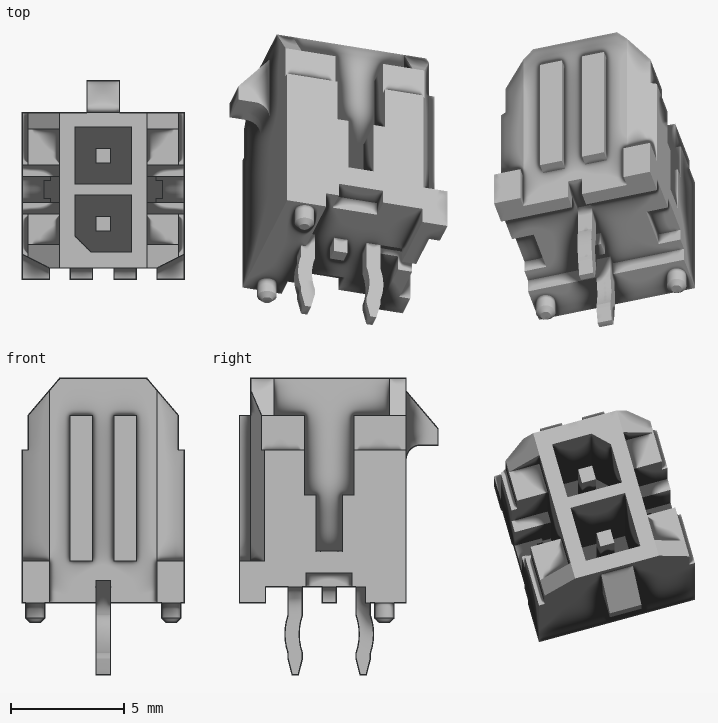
import cadquery as cq
import math


WIDTH = 7.15
HEIGHT = 9.91
FRONT_Y = -3.465
REAR_Y = 3.395
DEPTH = REAR_Y - FRONT_Y
HALF_WIDTH = WIDTH / 2
CORE_HALF_WIDTH = 1.92
SHOULDER_HALF_WIDTH = 3.315
STEP_Z = 6.75
SHOULDER_Z = 8.27

FRONT_STANDOFF = 0.5
FOOT_HEIGHT = 1.85
FOOT_INNER_X = 2.37
CORNER_CUT_DEPTH = 0.61
RIB_WIDTH = 1.0
RIB_X = 0.965

FRONT_SLOPE_THICKNESS = 1.03
REAR_SLOPE_THICKNESS = 0.735
SIDE_BAY_WIDTH = 2.18
SIDE_BAY_Z = 4.75
SIDE_SLOT_WIDTH = 1.15
SIDE_SLOT_Z = 2.28
FLOOR_POCKET_LENGTH = 0.41
FLOOR_POCKET_KEY_LENGTH = 0.70
FLOOR_POCKET_KEY_WIDTH = 0.785
FLOOR_POCKET_DEPTH = 0.5

STANDOFF_HEIGHT = 0.70
UNDERCUT_FRONT_Y = -2.81
UNDERCUT_REAR_Y = 1.60
SIDE_NOTCH_WIDTH = 2.03
SIDE_NOTCH_TOP_Z = 1.32
SIDE_NOTCH_DEPTH = 1.0
CONTACT_GROOVE_TOP_Z = 0.99
CENTRE_POST_SIZE = 0.63

PITCH = 3.0
CAVITY_SIZE = 2.5
CAVITY_FLOOR_Z = 2.0
KEY_CHAMFER = 0.70

CONTACT_SIZE = 0.64
CONTACT_TOP_Z = 7.9
BOTTOM_Z = -3.18
BOW_TOP_Z = -0.55
BOW_BOTTOM_Z = -2.22
BOW_OFFSET = 0.14
TIP_START_Z = -2.46
TIP_WIDTH = 0.28

PEG_DIAMETER = 0.86
PEG_LENGTH = 0.87
PEG_CHAMFER = 0.20
PEG_X = 3.0
PEG_FROM_REAR = 0.96

LATCH_WIDTH = 1.45
LATCH_REACH = 1.41
LATCH_TOP_Z = 9.34
LATCH_NOSE_TOP_Z = 7.68
LATCH_NOSE_BOTTOM_Z = 6.95
LATCH_FILLET = 0.63


def box(x_range, y_range, z_range):
    """Axis-aligned box between the given limits."""
    return (
        cq.Workplane("XY")
        .box(
            x_range[1] - x_range[0],
            y_range[1] - y_range[0],
            z_range[1] - z_range[0],
            centered=False,
        )
        .translate((x_range[0], y_range[0], z_range[0]))
    )


def centred(size):
    """Limits of a span of the given size about zero."""
    return (-size / 2, size / 2)


def both_sides(shape):
    """The shape together with its mirror image across the YZ plane."""
    return shape.union(shape.mirror("YZ"))


def housing_block():
    """Full housing outline in XZ, extruded from the front face to the rear face."""
    return (
        cq.Workplane("XZ", origin=(0, REAR_Y, 0))
        .polyline([
            (-HALF_WIDTH, 0),
            (HALF_WIDTH, 0),
            (HALF_WIDTH, STEP_Z),
            (SHOULDER_HALF_WIDTH, STEP_Z),
            (SHOULDER_HALF_WIDTH, SHOULDER_Z),
            (CORE_HALF_WIDTH, HEIGHT),
            (-CORE_HALF_WIDTH, HEIGHT),
            (-SHOULDER_HALF_WIDTH, SHOULDER_Z),
            (-SHOULDER_HALF_WIDTH, STEP_Z),
            (-HALF_WIDTH, STEP_Z),
        ])
        .close()
        .extrude(DEPTH)
    )


def corner_cuts():
    """Vertical bevels on the front corners, above the feet."""
    cut = (
        cq.Workplane("XY", origin=(0, 0, FOOT_HEIGHT))
        .polyline([
            (FOOT_INNER_X, FRONT_Y),
            (HALF_WIDTH, FRONT_Y),
            (HALF_WIDTH, FRONT_Y + CORNER_CUT_DEPTH),
        ])
        .close()
        .extrude(HEIGHT - FOOT_HEIGHT)
    )
    return both_sides(cut)


def side_openings():
    """Bays between the side posts, narrowing in steps towards a keyed floor pocket."""
    side_x = (CORE_HALF_WIDTH, HALF_WIDTH)
    top_y = (FRONT_Y + FRONT_SLOPE_THICKNESS, REAR_Y - REAR_SLOPE_THICKNESS)
    pocket_x = (CORE_HALF_WIDTH, CORE_HALF_WIDTH + FLOOR_POCKET_LENGTH)
    key_x = (CORE_HALF_WIDTH, CORE_HALF_WIDTH + FLOOR_POCKET_KEY_LENGTH)
    pocket_z = (SIDE_SLOT_Z - FLOOR_POCKET_DEPTH, SIDE_SLOT_Z)
    opening = (
        box(side_x, top_y, (SHOULDER_Z, HEIGHT))
        .union(box(side_x, centred(SIDE_BAY_WIDTH), (SIDE_BAY_Z, HEIGHT)))
        .union(box(side_x, centred(SIDE_SLOT_WIDTH), (SIDE_SLOT_Z, HEIGHT)))
        .union(box(pocket_x, centred(SIDE_SLOT_WIDTH), pocket_z))
        .union(box(key_x, centred(FLOOR_POCKET_KEY_WIDTH), pocket_z))
    )
    return both_sides(opening)


def underside_cuts():
    """Cross channel, side notches and the groove from the front face to the front contact."""
    channel = box(
        centred(WIDTH),
        (UNDERCUT_FRONT_Y, UNDERCUT_REAR_Y),
        (0, STANDOFF_HEIGHT),
    )
    notch = box(
        (HALF_WIDTH - SIDE_NOTCH_DEPTH, HALF_WIDTH),
        centred(SIDE_NOTCH_WIDTH),
        (STANDOFF_HEIGHT, SIDE_NOTCH_TOP_Z),
    )
    groove = box(
        centred(CONTACT_SIZE),
        (FRONT_Y, -PITCH / 2),
        (0, CONTACT_GROOVE_TOP_Z),
    )
    return channel.union(both_sides(notch)).union(groove)


def cavities():
    """Two square cavities; the front one has a filled corner as a polarising key."""
    cavity = box(centred(CAVITY_SIZE), centred(CAVITY_SIZE), (CAVITY_FLOOR_Z, HEIGHT))
    keyed_cavity = cavity.edges("|Z and <X and <Y").chamfer(KEY_CHAMFER)
    rear = cavity.translate((0, PITCH / 2, 0))
    front = keyed_cavity.translate((0, -PITCH / 2, 0))
    return rear.union(front)


def front_feet():
    """Two blocks that fill out the lower front corners."""
    foot = box(
        (FOOT_INNER_X, HALF_WIDTH),
        (FRONT_Y - FRONT_STANDOFF, UNDERCUT_FRONT_Y),
        (0, FOOT_HEIGHT),
    )
    return both_sides(foot)


def front_ribs():
    """Two vertical ribs on the front face."""
    rib = box(
        (RIB_X - RIB_WIDTH / 2, RIB_X + RIB_WIDTH / 2),
        (FRONT_Y - FRONT_STANDOFF, FRONT_Y),
        (FOOT_HEIGHT, SHOULDER_Z),
    )
    return both_sides(rib)


def latch():
    """Ramped catch on the rear face with a concave fillet underneath."""
    nose_y = REAR_Y + LATCH_REACH
    fillet_y = REAR_Y + LATCH_FILLET
    fillet_z = LATCH_NOSE_BOTTOM_Z - LATCH_FILLET
    diagonal = LATCH_FILLET * math.sqrt(0.5)
    return (
        cq.Workplane("YZ")
        .moveTo(REAR_Y, LATCH_TOP_Z)
        .lineTo(nose_y, LATCH_NOSE_TOP_Z)
        .lineTo(nose_y, LATCH_NOSE_BOTTOM_Z)
        .lineTo(fillet_y, LATCH_NOSE_BOTTOM_Z)
        .threePointArc((fillet_y - diagonal, fillet_z + diagonal), (REAR_Y, fillet_z))
        .close()
        .extrude(LATCH_WIDTH / 2, both=True)
    )


def pegs():
    """Round locating pegs with bevelled tips under the rear corners."""
    peg = (
        cq.Workplane("XY")
        .center(PEG_X, REAR_Y - PEG_FROM_REAR)
        .circle(PEG_DIAMETER / 2)
        .extrude(-PEG_LENGTH)
        .faces("<Z")
        .chamfer(PEG_CHAMFER)
    )
    return both_sides(peg)


def rear_contact():
    """Square contact whose tail bows rearwards and ends in a tapered tip."""
    half = CONTACT_SIZE / 2
    bow_middle_z = (BOW_TOP_Z + BOW_BOTTOM_Z) / 2
    return (
        cq.Workplane("YZ", origin=(0, PITCH / 2, 0))
        .moveTo(-half, CONTACT_TOP_Z)
        .lineTo(half, CONTACT_TOP_Z)
        .lineTo(half, BOW_TOP_Z)
        .threePointArc((half + BOW_OFFSET, bow_middle_z), (half, BOW_BOTTOM_Z))
        .lineTo(half, TIP_START_Z)
        .lineTo(TIP_WIDTH / 2, BOTTOM_Z)
        .lineTo(-TIP_WIDTH / 2, BOTTOM_Z)
        .lineTo(-half, TIP_START_Z)
        .lineTo(-half, BOW_BOTTOM_Z)
        .threePointArc((-half + BOW_OFFSET, bow_middle_z), (-half, BOW_TOP_Z))
        .close()
        .extrude(half, both=True)
    )


def centre_post():
    """Square post in the underside channel, between the contacts."""
    return box(centred(CENTRE_POST_SIZE), centred(CENTRE_POST_SIZE), (0, STANDOFF_HEIGHT))


housing = (
    housing_block()
    .cut(corner_cuts())
    .cut(side_openings())
    .cut(underside_cuts())
    .cut(cavities())
)

contact = rear_contact()
result = (
    housing
    .union(front_feet())
    .union(front_ribs())
    .union(latch())
    .union(pegs())
    .union(centre_post())
    .union(contact)
    .union(contact.mirror("XZ"))
)